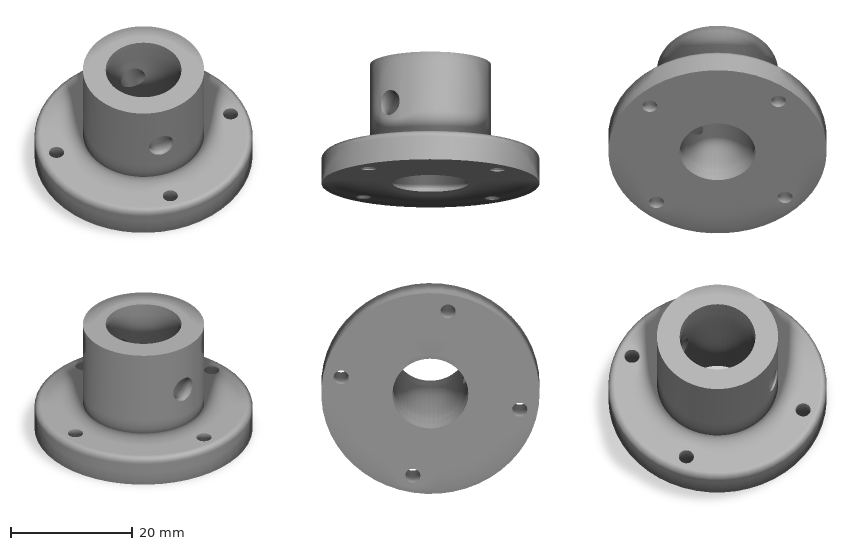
import cadquery as cq

flange_diameter = 36.0
flange_thickness = 5.0
flange_edge_radius = 1.0

total_height = 20.0
hub_diameter = 20.0
bore_diameter = 12.5

mount_hole_count = 4
mount_hole_diameter = 2.5
mount_circle_radius = 15.0

pin_hole_diameter = 4.2
pin_hole_height = 12.0


def make_flange():
    """Disc resting on Z = 0 with a rounded upper rim."""
    disc = cq.Workplane("XY").circle(flange_diameter / 2).extrude(flange_thickness)
    return disc.faces(">Z").edges().fillet(flange_edge_radius)


def make_hub():
    return cq.Workplane("XY").circle(hub_diameter / 2).extrude(total_height)


def make_bore():
    return cq.Workplane("XY").circle(bore_diameter / 2).extrude(total_height)


def make_mount_holes():
    return (
        cq.Workplane("XY")
        .polarArray(mount_circle_radius, 0, 360, mount_hole_count)
        .circle(mount_hole_diameter / 2)
        .extrude(flange_thickness)
    )


def make_pin_hole():
    """Cylinder along X that passes through both walls of the hub."""
    return (
        cq.Workplane("YZ")
        .center(0, pin_hole_height)
        .circle(pin_hole_diameter / 2)
        .extrude(hub_diameter / 2, both=True)
    )


body = make_flange().union(make_hub())
result = body.cut(make_bore()).cut(make_mount_holes()).cut(make_pin_hole())